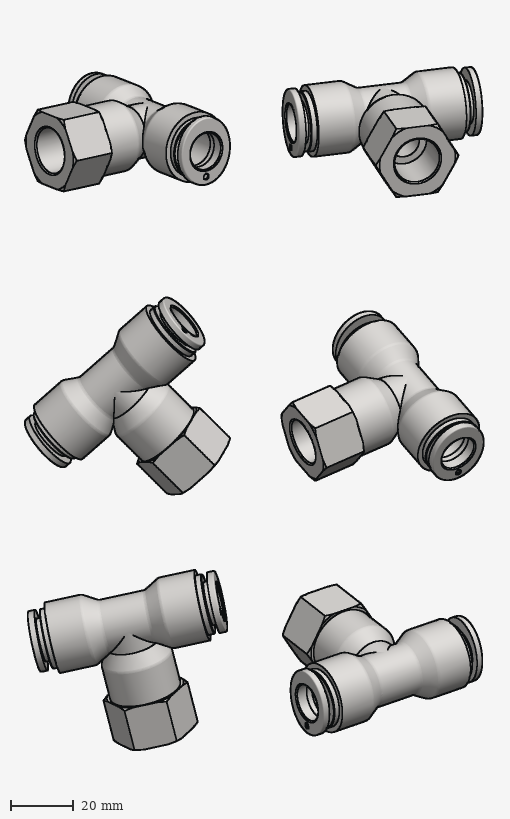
import cadquery as cq
import math

half_run = 30.6
barrel_d = 23.2
waist_d = 17.4
barrel_end = 24.6
cone_start = 7.6
cone_angle = 30.0
cone_blend_r = 1.85
passage_d = 10.0
tube_d = 12.2

collar_d = 19.6
collar_length = 2.0
collar_chamfer = 0.25

neck_d = 14.2
flange_length = 2.25
flange_width = 19.45
flange_height = 22.45
flange_round = 0.4
mouth_chamfer = 0.4
mark_d = 2.0
mark_depth = 0.6
mark_offset = 8.45

nut_flats = 24.0
nut_length = 15.05
nut_bore_d = 14.95
nut_bore_chamfer = 0.5
nut_crown_d = 25.2
nut_crown_height = 0.5

cone_end = cone_start + (barrel_d - waist_d) / 2 / math.tan(math.radians(cone_angle))
tube_stop = cone_end
collar_face = barrel_end + collar_length
nut_corners = nut_flats / math.cos(math.radians(30))

run_directions = [(1, 0, 0), (-1, 0, 0)]
branch_direction = (0, -1, 0)


def plane_along(direction, distance=0.0):
    """Plane facing along direction, at a distance from the origin, with its local Y along world Z."""
    x, y, z = direction
    return cq.Plane(
        origin=(x * distance, y * distance, z * distance),
        xDir=(-y, x, 0),
        normal=direction,
    )


def facing(direction):
    """Selector for the outermost face along direction."""
    return cq.selectors.DirectionMinMaxSelector(cq.Vector(*direction))


def rod(direction, diameter, start, end):
    """Cylinder along direction between two distances from the origin."""
    return cq.Workplane(plane_along(direction, start)).circle(diameter / 2).extrude(end - start)


def housing_arm(direction, blend_waist):
    """Solid waist, flare and barrel along one direction, modelled along Z and then turned."""
    profile = [
        (0, 0),
        (waist_d / 2, 0),
        (waist_d / 2, cone_start),
        (barrel_d / 2, cone_end),
        (barrel_d / 2, barrel_end),
        (0, barrel_end),
    ]
    arm = cq.Workplane("XZ").polyline(profile).close().revolve(360, (0, 0), (0, 1))
    arm = arm.edges("%CIRCLE").edges(">>Z[2]").fillet(cone_blend_r)
    if blend_waist:
        arm = arm.edges("%CIRCLE").edges(">>Z[1]").fillet(cone_blend_r)
    return cq.Workplane(arm.val().moved(plane_along(direction).location))


def make_housing():
    """Tee housing: three arms joined at the crossing, with flow passages and two tube bores."""
    housing = housing_arm(branch_direction, blend_waist=False)
    for direction in run_directions:
        housing = housing.union(housing_arm(direction, blend_waist=True))
    housing = housing.cut(rod(branch_direction, passage_d, 0, barrel_end))
    for direction in run_directions:
        housing = housing.cut(rod(direction, passage_d, 0, barrel_end))
        housing = housing.cut(rod(direction, tube_d, tube_stop, barrel_end))
    return housing


def make_collar(direction):
    """Chamfered ring on the end face of a run barrel."""
    collar = rod(direction, collar_d, barrel_end, collar_face)
    collar = collar.faces(facing(direction)).chamfer(collar_chamfer)
    return collar.cut(rod(direction, tube_d, barrel_end, collar_face))


def make_sleeve(direction):
    """Release sleeve: a round neck with an oval flange, bored for the tube."""
    flange_base = plane_along(direction, half_run - flange_length)
    flange = cq.Workplane(flange_base).ellipse(flange_width / 2, flange_height / 2).extrude(flange_length)
    flange = flange.faces(facing(direction)).edges().fillet(flange_round)
    mark = cq.Workplane(plane_along(direction, half_run)).center(0, -mark_offset).circle(mark_d / 2)
    mark = mark.extrude(-mark_depth)
    neck = rod(direction, neck_d, collar_face, half_run - flange_length)
    sleeve = neck.union(flange.cut(mark))
    bore = rod(direction, tube_d, collar_face, half_run)
    mouth = cq.Workplane(plane_along(direction, half_run)).circle(tube_d / 2 + mouth_chamfer)
    mouth = mouth.extrude(-mouth_chamfer, taper=45)
    return sleeve.cut(bore).cut(mouth)


def make_nut():
    """Hexagonal nut with chamfered corners, modelled along Z from the barrel end and then turned."""
    nut = cq.Workplane("XY").polygon(6, nut_corners).extrude(nut_length)
    crown_profile = [
        (0, 0),
        (nut_crown_d / 2, 0),
        (nut_corners / 2, nut_crown_height),
        (nut_corners / 2, nut_length - nut_crown_height),
        (nut_crown_d / 2, nut_length),
        (0, nut_length),
    ]
    crown = cq.Workplane("XZ").polyline(crown_profile).close().revolve(360, (0, 0), (0, 1))
    nut = nut.intersect(crown)
    nut = nut.faces(">Z").workplane().hole(nut_bore_d)
    nut = nut.faces(">Z").edges("%CIRCLE").edges(cq.selectors.RadiusNthSelector(0)).chamfer(nut_bore_chamfer)
    return cq.Workplane(nut.val().moved(plane_along(branch_direction, barrel_end).location))


housing = make_housing()
nut = make_nut()
collars = [make_collar(direction) for direction in run_directions]
sleeves = [make_sleeve(direction) for direction in run_directions]

result = cq.Compound.makeCompound(
    [
        housing.val(),
        nut.val(),
        *[collar.val() for collar in collars],
        *[sleeve.val() for sleeve in sleeves],
    ]
)